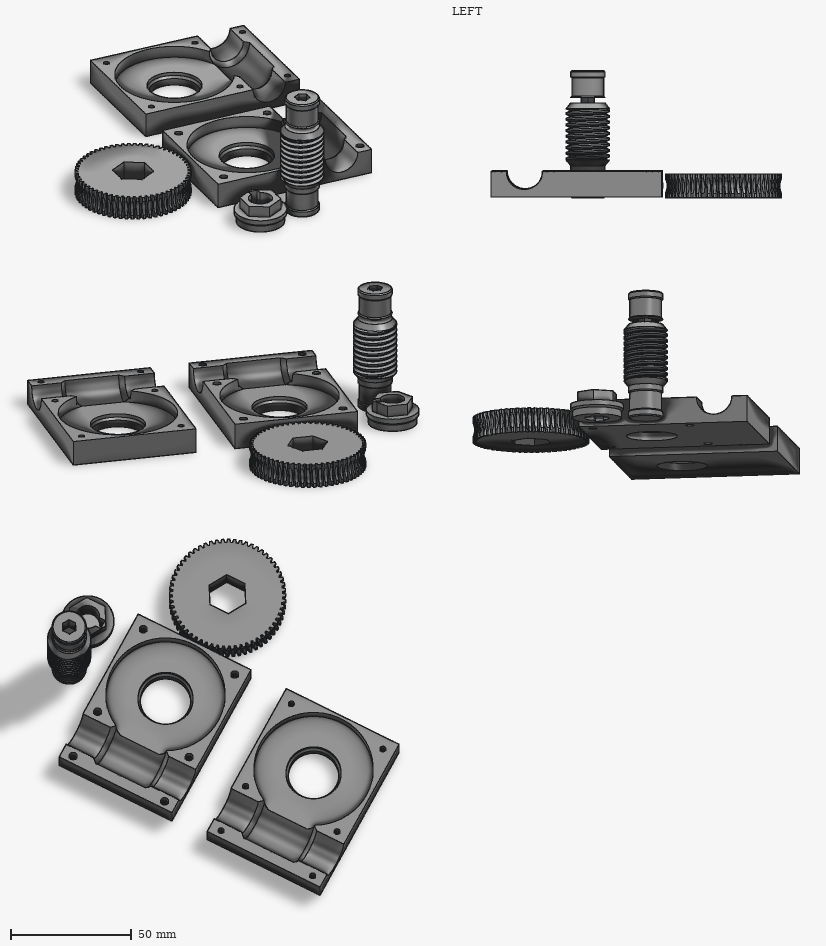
import cadquery as cq
import math

module = 0.75
tooth_count = 60
pressure_angle = math.radians(25)
flank_slope = math.tan(pressure_angle)
worm_pitch_radius = 8.5
worm_outer_diameter = 18.1
pitch = math.pi * module
centre_distance = worm_pitch_radius + module * tooth_count / 2
lead_angle = math.degrees(math.atan(pitch / (2 * math.pi * worm_pitch_radius)))

housing_width = 53.0
housing_length = 71.0
cover_height = 10.6
base_height = 11.0
housing_floor_z = 0.4
cover_corner = (0.0, 0.0)
base_corner = (69.75, -0.4)

wheel_axis = (housing_width / 2, 26.1)
channel_y = wheel_axis[1] + centre_distance
journal_channel_diameter = 14.96
worm_channel_diameter = 18.7
worm_channel_length = 27.4
channel_cone_length = 2.1
pocket_diameter = 49.7
pocket_depth = 5.1
flange_recess_diameter = 22.95
flange_recess_depth = 1.5
boss_bore_diameter = 21.0

screw_x_inset = 5.0
screw_rows = (5.0, 46.0, 68.0)
tapped_hole_diameter = 2.5
tapped_hole_depth = 8.0
drill_point_angle = math.radians(118)
clearance_hole_diameter = 3.3
blind_hole_depth = 8.0

worm_axis = (138.9, 30.65)
worm_length = 53.02
worm_body_length = 26.2
body_cone_length = 2.35
collar_diameter = 14.35
end_collar_length = 2.6
inner_collar_length = 2.3
journal_relief = 0.5
end_chamfer = 0.5
socket_width = 5.5
socket_depth = 9.5
thread_depth = 1.4
thread_turns = 11
thread_start_z = 14.5
groove_clearance = 0.3

wheel_centre = (94.05, -25.81)
wheel_height = 10.0
wheel_diameter = 48.45
throat_radius = 7.5
gap_root_radius = 22.85
gap_root_width = 0.6
gap_outside_radius = 24.6
gap_flank_slope = math.tan(math.radians(20))
wheel_hex_width = 14.9

bushing_centre = (140.83, 10.4)
bushing_flange_diameter = 21.96
bushing_boss_diameter = 20.3
bushing_boss_height = 2.9
bushing_flange_height = 2.9
bushing_hex_height = 4.8
bushing_hex_width = 14.9
bushing_bore_diameter = 10.0
key_width = 4.0
key_reach = 7.2


def across_corners(flat_width):
    """Corner-to-corner size of a hexagon with the given width across flats."""
    return flat_width / math.cos(math.pi / 6)


def worm_channel_cut():
    """Turned shape lying along X: journal channel with a wider, cone-ended middle."""
    small = journal_channel_diameter / 2
    large = worm_channel_diameter / 2
    middle = housing_width / 2
    outer = worm_channel_length / 2
    inner = outer - channel_cone_length
    return (
        cq.Workplane("XY")
        .polyline([
            (0, 0),
            (0, small),
            (middle - outer, small),
            (middle - inner, large),
            (middle + inner, large),
            (middle + outer, small),
            (housing_width, small),
            (housing_width, 0),
        ])
        .close()
        .revolve(360, (0, 0), (1, 0))
    )


def wheel_seat_cut(height):
    """Turned shape about the wheel axis: wheel pocket, flange recess and boss bore."""
    recess = flange_recess_diameter / 2
    bore = boss_bore_diameter / 2
    floor = height - pocket_depth
    cone_top = floor - flange_recess_depth
    return (
        cq.Workplane("XZ")
        .polyline([
            (0, 0),
            (bore, 0),
            (bore, cone_top - (recess - bore)),
            (recess, cone_top),
            (recess, floor),
            (pocket_diameter / 2, floor),
            (pocket_diameter / 2, height),
            (0, height),
        ])
        .close()
        .revolve(360, (0, 0), (0, 1))
    )


def screw_points(rows):
    """Screw positions on both sides of the housing for the given distances along Y."""
    return [(x, y) for y in rows for x in (screw_x_inset, housing_width - screw_x_inset)]


def housing_blank(height):
    """Housing half, open at the top along the worm axis, without its screw holes."""
    return (
        cq.Workplane("XY")
        .box(housing_width, housing_length, height, centered=False)
        .cut(worm_channel_cut().translate((0, channel_y, height)))
        .cut(wheel_seat_cut(height).translate((*wheel_axis, 0)))
    )


def tapped_hole_cut():
    """Drilled hole below z = 0 with a conical bottom."""
    radius = tapped_hole_diameter / 2
    point_length = radius / math.tan(drill_point_angle / 2)
    return (
        cq.Workplane("XZ")
        .polyline([
            (0, 0),
            (radius, 0),
            (radius, -tapped_hole_depth),
            (0, -tapped_hole_depth - point_length),
        ])
        .close()
        .revolve(360, (0, 0), (0, 1))
    )


def make_cover():
    cover = housing_blank(cover_height)
    for x, y in screw_points(screw_rows):
        cover = cover.cut(tapped_hole_cut().translate((x, y, cover_height)))
    return cover.translate((*cover_corner, housing_floor_z))


def make_base():
    top = cq.Workplane("XY", origin=(0, 0, base_height))
    through_holes = (
        top.pushPoints(screw_points(screw_rows[:2]))
        .circle(clearance_hole_diameter / 2)
        .extrude(-base_height)
    )
    blind_holes = (
        top.pushPoints(screw_points(screw_rows[2:]))
        .circle(clearance_hole_diameter / 2)
        .extrude(-blind_hole_depth)
    )
    return (
        housing_blank(base_height)
        .cut(through_holes)
        .cut(blind_holes)
        .translate((*base_corner, housing_floor_z))
    )


def worm_end_profile():
    """Half outline of the worm's lower end as (radius, height), from the tip to the full body."""
    collar = collar_diameter / 2
    body_start = (worm_length - worm_body_length) / 2
    inner_collar_start = body_start - inner_collar_length
    return [
        (collar - end_chamfer, 0),
        (collar, end_chamfer),
        (collar, end_collar_length),
        (collar - journal_relief, end_collar_length + journal_relief),
        (collar - journal_relief, inner_collar_start - journal_relief),
        (collar, inner_collar_start),
        (collar, body_start),
        (worm_outer_diameter / 2, body_start + body_cone_length),
    ]


def thread_groove():
    """Right-handed helical groove with straight flanks, ending at the cones of the worm body."""
    root_radius = worm_outer_diameter / 2 - thread_depth
    outside_radius = worm_outer_diameter / 2 + groove_clearance
    root_half = pitch / 4 - (worm_pitch_radius - root_radius) * flank_slope
    outside_half = pitch / 4 + (outside_radius - worm_pitch_radius) * flank_slope
    helix = cq.Wire.makeHelix(pitch, pitch * thread_turns, worm_pitch_radius)
    return (
        cq.Workplane("XZ")
        .polyline([
            (root_radius, -root_half),
            (outside_radius, -outside_half),
            (outside_radius, outside_half),
            (root_radius, root_half),
        ])
        .close()
        .sweep(cq.Workplane(obj=helix), isFrenet=True)
        .translate((0, 0, thread_start_z))
    )


def threaded_body():
    """Threaded cylinder between the cones of the worm body, cut to length from a longer one."""
    threaded_length = worm_body_length - 2 * body_cone_length
    trimmed_zone = (
        cq.Workplane("XY", origin=(0, 0, (worm_length - threaded_length) / 2))
        .circle(worm_outer_diameter)
        .extrude(threaded_length)
    )
    return (
        cq.Workplane("XY")
        .circle(worm_outer_diameter / 2)
        .extrude(worm_length)
        .cut(thread_groove())
        .intersect(trimmed_zone)
    )


def worm_end():
    """Lower end of the worm, up to the threaded body."""
    profile = worm_end_profile()
    return (
        cq.Workplane("XZ")
        .polyline([(0, 0), *profile, (0, profile[-1][1])])
        .close()
        .revolve(360, (0, 0), (0, 1))
    )


def make_worm():
    lower_end = worm_end()
    upper_end = lower_end.mirror("XY").translate((0, 0, worm_length))
    neck_start = (worm_length + worm_body_length) / 2
    neck_gap = (
        cq.Workplane("XY", origin=(0, 0, neck_start))
        .circle(worm_outer_diameter)
        .polygon(6, across_corners(socket_width))
        .extrude(inner_collar_length)
    )
    socket = (
        cq.Workplane("XY", origin=(0, 0, worm_length))
        .polygon(6, across_corners(socket_width))
        .extrude(-socket_depth)
    )
    return (
        threaded_body()
        .union(lower_end)
        .union(upper_end.cut(neck_gap).cut(socket))
        .translate((*worm_axis, 0))
    )


def tooth_gap_cutter():
    """Straight bar of trapezoid section on the +X side of the wheel, tilted by the lead angle."""
    outside_half = gap_root_width / 2 + (gap_outside_radius - gap_root_radius) * gap_flank_slope
    return (
        cq.Workplane("XY")
        .polyline([
            (gap_root_radius, -gap_root_width / 2),
            (gap_outside_radius, -outside_half),
            (gap_outside_radius, outside_half),
            (gap_root_radius, gap_root_width / 2),
        ])
        .close()
        .extrude(wheel_height, both=True)
        .rotate((0, 0, 0), (1, 0, 0), lead_angle)
    )


def make_wheel():
    rim = wheel_diameter / 2
    half_height = wheel_height / 2
    throat_half = math.sqrt(throat_radius ** 2 - (centre_distance - rim) ** 2)
    wheel = (
        cq.Workplane("XZ")
        .moveTo(0, -half_height)
        .lineTo(rim, -half_height)
        .lineTo(rim, -throat_half)
        .threePointArc((centre_distance - throat_radius, 0), (rim, throat_half))
        .lineTo(rim, half_height)
        .lineTo(0, half_height)
        .close()
        .revolve(360, (0, 0), (0, 1))
    )
    cutter = tooth_gap_cutter()
    cutters = [
        cutter.rotate((0, 0, 0), (0, 0, 1), 360 * i / tooth_count).val()
        for i in range(tooth_count)
    ]
    hex_hole = (
        cq.Workplane("XY", origin=(0, 0, -half_height))
        .polygon(6, across_corners(wheel_hex_width))
        .extrude(wheel_height)
    )
    toothed = cq.Workplane(obj=wheel.val().cut(*cutters))
    return toothed.cut(hex_hole).translate((*wheel_centre, half_height))


def make_bushing():
    boss = bushing_boss_diameter / 2
    flange = bushing_flange_diameter / 2
    flange_top = bushing_boss_height + bushing_flange_height
    total_height = flange_top + bushing_hex_height
    body = (
        cq.Workplane("XZ")
        .polyline([
            (0, 0),
            (boss, 0),
            (boss, bushing_boss_height),
            (flange, bushing_boss_height + flange - boss),
            (flange, flange_top),
            (0, flange_top),
        ])
        .close()
        .revolve(360, (0, 0), (0, 1))
    )
    hexagon = (
        cq.Workplane("XY", origin=(0, 0, flange_top))
        .polygon(6, across_corners(bushing_hex_width))
        .extrude(bushing_hex_height)
    )
    bore = cq.Workplane("XY").circle(bushing_bore_diameter / 2).extrude(total_height)
    keyway = (
        cq.Workplane("XY")
        .center(-key_reach / 2, 0)
        .rect(key_reach, key_width)
        .extrude(total_height)
    )
    return (
        body.union(hexagon)
        .cut(bore)
        .cut(keyway)
        .translate((*bushing_centre, housing_floor_z))
    )


cover = make_cover()
base = make_base()
worm = make_worm()
wheel = make_wheel()
bushing = make_bushing()

result = cq.Compound.makeCompound([cover.val(), base.val(), worm.val(), wheel.val(), bushing.val()])